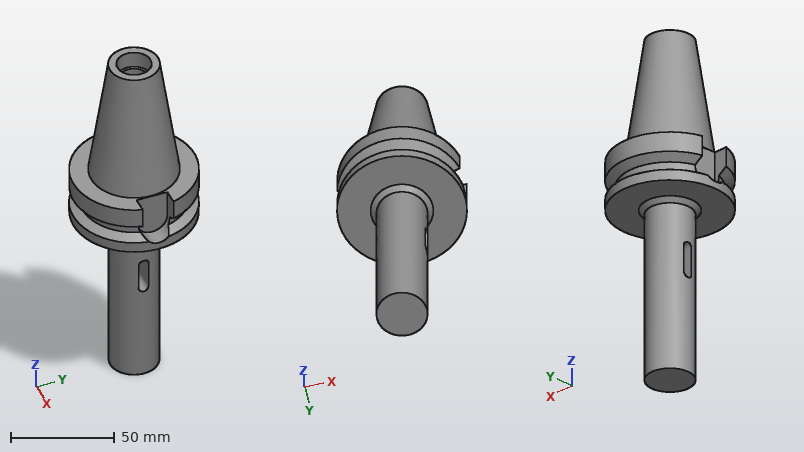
import cadquery as cq

total_height = 185.4
taper_length = 65.5
gauge_z = total_height - taper_length
base_collar_height = 0.5
flange_top_z = gauge_z - base_collar_height

shank_radius = 12.5
taper_top_radius = 12.6
taper_base_radius = 22.2
flange_radius = 31.5
groove_radius = 26.7
neck_radius = 15.2

upper_rim_depth = 10.5
groove_start_depth = 13.9
groove_end_depth = 18.0
lower_rim_depth = 20.5
flange_depth = 26.3
neck_depth = 28.7

keyway_width = 16.1
keyway_depth = 22.5
keyway_floor_x = 22.6

bore_radius = 8.5
bore_depth = 8.9
inner_bore_radius = 7.0
inner_bore_depth = 37.0

slot_width = 5.2
slot_height = 19.3
slot_top_z = 71.0


def below_flange_top(depth):
    return flange_top_z - depth


def turned_body():
    profile = [
        (0, 0),
        (shank_radius, 0),
        (shank_radius, below_flange_top(neck_depth)),
        (neck_radius, below_flange_top(flange_depth)),
        (flange_radius, below_flange_top(flange_depth)),
        (flange_radius, below_flange_top(lower_rim_depth)),
        (groove_radius, below_flange_top(groove_end_depth)),
        (groove_radius, below_flange_top(groove_start_depth)),
        (flange_radius, below_flange_top(upper_rim_depth)),
        (flange_radius, flange_top_z),
        (taper_base_radius, flange_top_z),
        (taper_base_radius, gauge_z),
        (taper_top_radius, total_height),
        (0, total_height),
    ]
    return cq.Workplane("XZ").polyline(profile).close().revolve(360, (0, 0), (0, 1))


def keyway(side):
    """Open-topped slot with a full-round lower end; side is -1 or +1 along X."""
    half_width = keyway_width / 2
    arc_center_z = below_flange_top(keyway_depth - half_width)
    return (
        cq.Workplane("YZ", origin=(side * keyway_floor_x, 0, 0))
        .moveTo(-half_width, flange_top_z)
        .lineTo(-half_width, arc_center_z)
        .threePointArc((0, below_flange_top(keyway_depth)), (half_width, arc_center_z))
        .lineTo(half_width, flange_top_z)
        .close()
        .extrude(side * flange_radius)
    )


def blind_bore(radius, depth):
    return cq.Workplane("XY", origin=(0, 0, total_height - depth)).circle(radius).extrude(depth)


def drift_slot():
    return (
        cq.Workplane("YZ", origin=(0, 0, slot_top_z - slot_height / 2))
        .slot2D(slot_height, slot_width, 90)
        .extrude(flange_radius, both=True)
    )


result = turned_body()
for side in (-1, 1):
    result = result.cut(keyway(side))
result = result.cut(blind_bore(bore_radius, bore_depth))
result = result.cut(blind_bore(inner_bore_radius, inner_bore_depth))
result = result.cut(drift_slot())